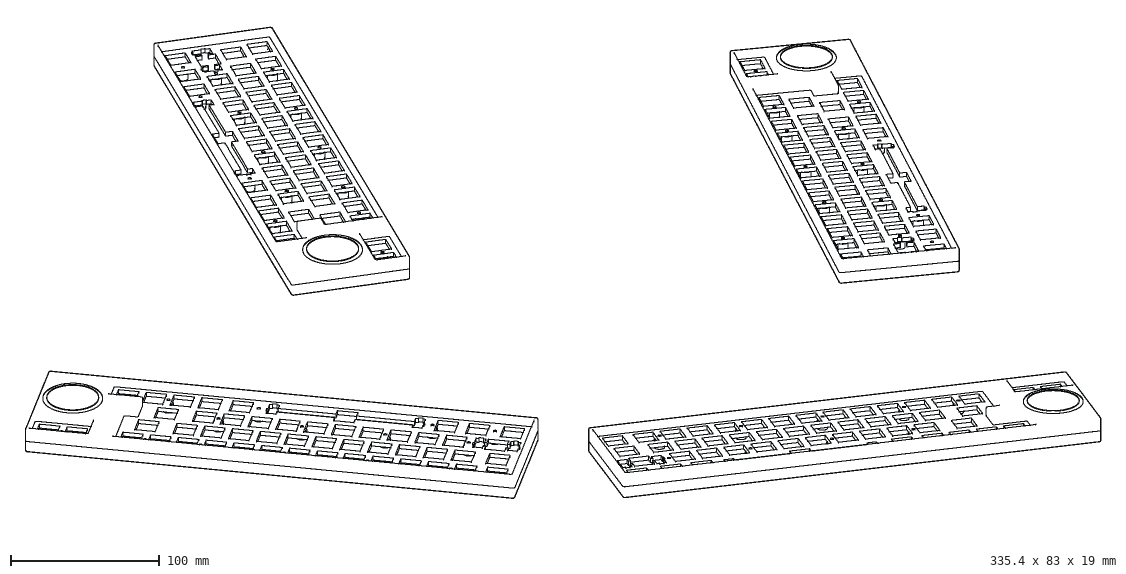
import cadquery as cq
LENGTH = 335.39
WIDTH = 82.98
TOTAL_HEIGHT = 19.0
CASE_HEIGHT = 18.0
SPLIT_HEIGHT = 8.5
CORNER_RADIUS = 1.5
BOTTOM_RADIUS = 1.5
TOP_RADIUS = 1.35

UNIT = 19.05
GRID_LENGTH = 17.25 * UNIT
GRID_WIDTH = 4 * UNIT
KEY_HOLE = 14.0

KEY_ROWS = [
    [1.25] + [1] * 13 + [-1] + [1] * 2,
    [1.5] + [1] * 11 + [1.75],
    [2] + [1] * 10 + [1.75],
    [1.25, 1.25, 1, 6.25, 1.25] + [1] * 4,
]

UPPER_ROWS_END = 14.25
THIRD_ROW_END = 13.75
FOURTH_ROW_END = 15
SIDE_KEYS_START = 15.25

SCREW_ROWS = [
    [2.25, 5.25, 8.25, 11.25, 13.25, 16.25],
    [],
    [2, 5, 8, 11],
    [1.25, 3.5, 9.75, 13],
]
SCREW_DIAMETER = 2.1
BOSS_DIAMETER = 7.0

WELL_GAP = 1.0
WELL_EDGE_RADIUS = 1.0
WELL_CORNER_RADIUS = 1.01
PLATE_THICKNESS = 3.0
PLATE_TOP = SPLIT_HEIGHT + PLATE_THICKNESS

STAB_WIDTH = 6.65
STAB_TOP = 5.53
STAB_BOTTOM = -6.77
STAB_FOOT_WIDTH = 3.05
STAB_FOOT_BOTTOM = -7.97
STAB_NOTCH_REACH = 4.2
STAB_NOTCH_TOP = 2.3
STAB_NOTCH_BOTTOM = -0.5
WIRE_SLOT = 4.6
STAB_OFFSETS = {2: 11.94, 6.25: 50.0}

WALL = 3.0
FLOOR = 3.0
FLOOR_RADIUS = 1.5

KNOB_X = 144.4
KNOB_Y = -6.1
KNOB_DIAMETER = 40.3
KNOB_HEIGHT = TOTAL_HEIGHT - CASE_HEIGHT
KNOB_EDGE_RADIUS = 0.9
DISH_DIAMETER = 35.0
DISH_DEPTH = 0.5


def grid_x(units):
    return units * UNIT - GRID_LENGTH / 2


def row_y(row):
    return GRID_WIDTH / 2 - (row + 0.5) * UNIT


def key_places():
    """Width in units and centre of every key."""
    places = []
    for row, widths in enumerate(KEY_ROWS):
        start = 0
        for width in widths:
            if width > 0:
                places.append((width, grid_x(start + width / 2), row_y(row)))
            start += abs(width)
    return places


def screw_places():
    return [(grid_x(units), row_y(row)) for row, places in enumerate(SCREW_ROWS) for units in places]


def case_block(bottom, top):
    """Full-size block with rounded upright corners."""
    return (
        cq.Workplane("XY", origin=(0, 0, bottom))
        .rect(LENGTH, WIDTH)
        .extrude(top - bottom)
        .edges("|Z")
        .fillet(CORNER_RADIUS)
    )


def plate_box(x0, x1, y0, y1):
    """Box through the whole plate thickness."""
    return (
        cq.Workplane("XY")
        .box(x1 - x0, y1 - y0, PLATE_THICKNESS, centered=False)
        .translate((x0, y0, SPLIT_HEIGHT))
    )


def screw_cylinders(diameter, bottom, top):
    return (
        cq.Workplane("XY", origin=(0, 0, bottom))
        .pushPoints(screw_places())
        .circle(diameter / 2)
        .extrude(top - bottom)
    )


def main_well():
    """Stepped opening above the main key field."""
    left = grid_x(0) - WELL_GAP
    back = GRID_WIDTH / 2 + WELL_GAP
    upper_right = grid_x(UPPER_ROWS_END) + WELL_GAP
    third_right = grid_x(THIRD_ROW_END) + WELL_GAP
    fourth_right = grid_x(FOURTH_ROW_END) + WELL_GAP
    upper_step = -WELL_GAP
    lower_step = -UNIT + WELL_GAP
    outline = [
        (left, back),
        (upper_right, back),
        (upper_right, upper_step),
        (third_right, upper_step),
        (third_right, lower_step),
        (fourth_right, lower_step),
        (fourth_right, -back),
        (left, -back),
    ]
    well = cq.Workplane("XY", origin=(0, 0, PLATE_TOP)).polyline(outline).close()
    return well.extrude(CASE_HEIGHT - PLATE_TOP).edges("|Z").fillet(WELL_CORNER_RADIUS)


def side_well():
    """Opening above the two separate keys at the back right."""
    left = grid_x(SIDE_KEYS_START) - WELL_GAP
    right = GRID_LENGTH / 2 + WELL_GAP
    back = GRID_WIDTH / 2 + WELL_GAP
    front = GRID_WIDTH / 2 - UNIT - WELL_GAP
    center = ((left + right) / 2, (front + back) / 2, PLATE_TOP)
    well = cq.Workplane("XY", origin=center).rect(right - left, back - front)
    return well.extrude(CASE_HEIGHT - PLATE_TOP).edges("|Z").fillet(WELL_CORNER_RADIUS)


def stabiliser_cut(x, y, offset):
    """Wire slot with a footed and notched opening at each end."""
    cut = plate_box(x - offset, x + offset, y - WIRE_SLOT / 2, y + WIRE_SLOT / 2)
    for side in (-1, 1):
        center = x + side * offset
        half_width = STAB_WIDTH / 2
        half_foot = STAB_FOOT_WIDTH / 2
        notch_left, notch_right = sorted((center, center + side * STAB_NOTCH_REACH))
        body = plate_box(center - half_width, center + half_width, y + STAB_BOTTOM, y + STAB_TOP)
        foot = plate_box(center - half_foot, center + half_foot, y + STAB_FOOT_BOTTOM, y)
        notch = plate_box(notch_left, notch_right, y + STAB_NOTCH_BOTTOM, y + STAB_NOTCH_TOP)
        cut = cut.union(body).union(foot).union(notch)
    return cut


def key_cut(width, x, y):
    half = KEY_HOLE / 2
    cut = plate_box(x - half, x + half, y - half, y + half)
    if width in STAB_OFFSETS:
        cut = cut.union(stabiliser_cut(x, y, STAB_OFFSETS[width]))
    return cut


def make_top_case():
    """Rim, knob block and key plate in one piece."""
    case = case_block(SPLIT_HEIGHT, CASE_HEIGHT).faces(">Z").fillet(TOP_RADIUS)
    case = case.cut(main_well()).cut(side_well())
    well_edges = [edge for wire in case.faces(">Z").val().innerWires() for edge in wire.Edges()]
    case = cq.Workplane(case.val().fillet(WELL_EDGE_RADIUS, well_edges))
    for width, x, y in key_places():
        case = case.cut(key_cut(width, x, y))
    return case.cut(screw_cylinders(SCREW_DIAMETER, SPLIT_HEIGHT, PLATE_TOP))


def make_bottom_case():
    """Open shell with screw bosses that reach up to the plate."""
    case = case_block(0, SPLIT_HEIGHT).faces("<Z").fillet(BOTTOM_RADIUS)
    cavity = (
        cq.Workplane("XY", origin=(0, 0, FLOOR))
        .rect(LENGTH - 2 * WALL, WIDTH - 2 * WALL)
        .extrude(SPLIT_HEIGHT - FLOOR)
        .faces("<Z")
        .edges()
        .fillet(FLOOR_RADIUS)
    )
    case = case.cut(cavity)
    case = case.union(screw_cylinders(BOSS_DIAMETER, FLOOR, SPLIT_HEIGHT))
    return case.cut(screw_cylinders(SCREW_DIAMETER, FLOOR, SPLIT_HEIGHT))


def make_knob():
    """Low round knob with a rounded rim and a shallow dish."""
    return (
        cq.Workplane("XY", origin=(KNOB_X, KNOB_Y, CASE_HEIGHT))
        .circle(KNOB_DIAMETER / 2)
        .extrude(KNOB_HEIGHT)
        .faces(">Z")
        .fillet(KNOB_EDGE_RADIUS)
        .faces(">Z")
        .workplane(origin=(KNOB_X, KNOB_Y, TOTAL_HEIGHT))
        .circle(DISH_DIAMETER / 2)
        .cutBlind(-DISH_DEPTH)
    )


top_case = make_top_case()
bottom_case = make_bottom_case()
knob = make_knob()

result = cq.Compound.makeCompound([top_case.val(), bottom_case.val(), knob.val()])